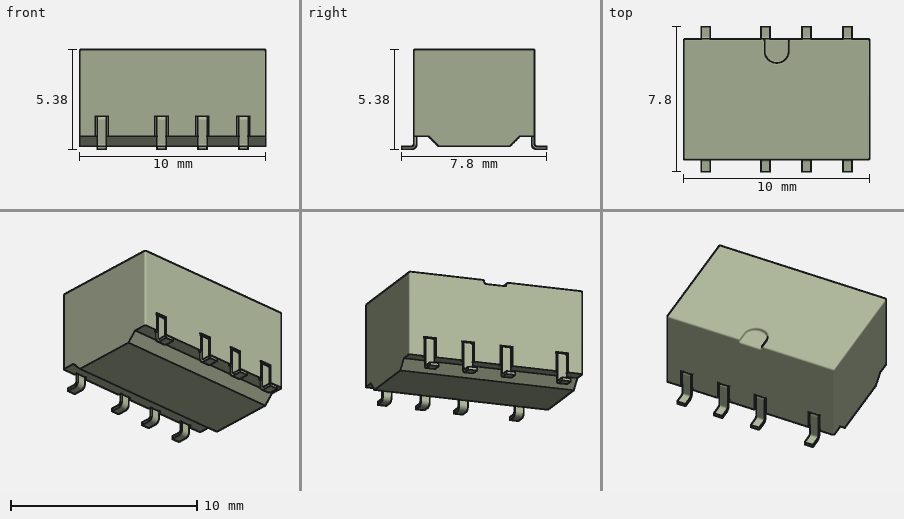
import cadquery as cq

case_length = 10.0
case_width = 6.5
overall_height = 5.38
edge_radius = 0.1

ledge_height = 0.7
ledge_depth = 0.8

marker_width = 1.3
marker_reach = 0.65
marker_depth = 0.21

lead_width = 0.5
lead_thickness = 0.17
lead_positions = (-3.81, -0.6, 1.6, 3.8)
lead_span = 7.8
foot_bend_radius = 0.12
shoulder_radius = 0.21
lead_top = 1.78

slot_width = 0.7
slot_depth = lead_thickness

case_base = lead_thickness
case_side = case_width / 2


def make_case():
    """Rounded block with the marker recess, standing on a sloping-sided base."""
    ledge_edge = case_side - ledge_depth
    base_edge = ledge_edge - (ledge_height - case_base)
    upper = (
        cq.Workplane("XY", origin=(0, 0, ledge_height))
        .rect(case_length, case_width)
        .extrude(overall_height - ledge_height)
    )
    half_marker = marker_width / 2
    round_centre = case_side - marker_reach
    marker = (
        cq.Workplane("XY", origin=(0, 0, overall_height - marker_depth))
        .moveTo(-half_marker, case_side)
        .lineTo(-half_marker, round_centre)
        .threePointArc((0, round_centre - half_marker), (half_marker, round_centre))
        .lineTo(half_marker, case_side)
        .close()
        .extrude(marker_depth)
    )
    upper = upper.cut(marker).edges("not(<Z)").fillet(edge_radius)
    base = (
        cq.Workplane("YZ")
        .moveTo(-ledge_edge, ledge_height)
        .lineTo(-base_edge, case_base)
        .lineTo(base_edge, case_base)
        .lineTo(ledge_edge, ledge_height)
        .close()
        .extrude(case_length / 2, both=True)
    )
    return upper.union(base)


def make_slot(x):
    """Slot in the +Y side of the case, open at the ledge."""
    return cq.Workplane("XY").box(
        slot_width, slot_depth, lead_top - ledge_height, centered=(True, False, False)
    ).translate((x, case_side - slot_depth, ledge_height))


def make_lead(x):
    """Lead on the +Y side: rounded shoulder, straight leg and outward foot."""
    inner_face = case_side - lead_thickness
    outer_bend_radius = foot_bend_radius + lead_thickness
    tip = lead_span / 2
    bend_end = case_side + foot_bend_radius
    return (
        cq.Workplane("YZ", origin=(x, 0, 0))
        .moveTo(tip, 0)
        .lineTo(tip, lead_thickness)
        .lineTo(bend_end, lead_thickness)
        .radiusArc((case_side, outer_bend_radius), foot_bend_radius)
        .lineTo(case_side, lead_top - shoulder_radius)
        .radiusArc((case_side - shoulder_radius, lead_top), -shoulder_radius)
        .lineTo(case_side - shoulder_radius, lead_top - shoulder_radius)
        .lineTo(inner_face, lead_top - shoulder_radius)
        .lineTo(inner_face, outer_bend_radius)
        .radiusArc((bend_end, 0), -outer_bend_radius)
        .close()
        .extrude(lead_width / 2, both=True)
    )


result = make_case()
for lead_x in lead_positions:
    slot = make_slot(lead_x)
    lead = make_lead(lead_x)
    result = result.cut(slot).cut(slot.mirror("XZ"))
    result = result.union(lead).union(lead.mirror("XZ"))